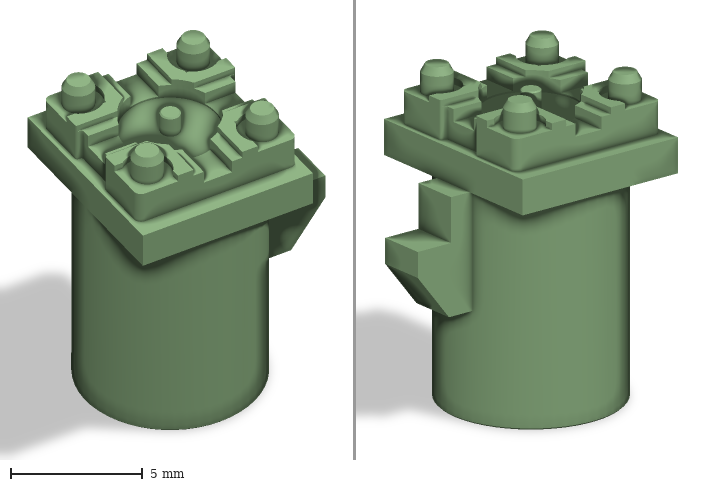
import cadquery as cq

total_height = 13.28
block_top = total_height - 0.86
step_floor = total_height - 1.14
channel_floor = total_height - 1.66
recess_floor = channel_floor - 0.08
plate_top = total_height - 2.47
plate_bottom = total_height - 3.92

barrel_diameter = 7.5
barrel_chamfer = 0.07
plate_x = 8.5
plate_y = barrel_diameter

block_side = 7.04
block_corner_radius = 0.3
notch_width = 2.11
notch_depth = 0.27
notch_fillet = 0.09

step_width = 2.15
channel_width = 1.25
recess_diameter = 4.01

pin_offset = 2.54
pin_diameter = 1.27
pin_tip_diameter = 0.92
pin_cone_height = 0.32
pocket_radius = 1.0
pocket_inner_edge = 1.77

contact_diameter = 0.81
contact_chamfer = 0.05

latch_width = 1.99
total_y = 10.0
latch_reach = total_y - plate_y / 2
latch_step_y = 4.65
latch_step_z = 7.52
latch_nose_bottom = 6.47
latch_bottom = 4.54
latch_ramp_y = 4.74


def box(x_size, y_size, bottom, top):
    """Box centred on the Z axis between two heights."""
    return cq.Workplane("XY").workplane(offset=bottom).rect(x_size, y_size).extrude(top - bottom)


def cylinder(diameter, bottom, top):
    """Cylinder on the Z axis between two heights."""
    return cq.Workplane("XY").workplane(offset=bottom).circle(diameter / 2).extrude(top - bottom)


def make_block():
    """Square block with rounded corners and a filleted notch in each Y side."""
    block = box(block_side, block_side, plate_top, block_top).edges("|Z").fillet(block_corner_radius)
    for side in (-1, 1):
        notch = box(notch_width, 2 * notch_depth, plate_top, block_top)
        block = block.cut(notch.translate((0, side * block_side / 2, 0)))
    notch_half = notch_width / 2 + notch_fillet
    notch_zone = cq.selectors.BoxSelector(
        (-notch_half, -block_side, plate_top), (notch_half, block_side, block_top)
    )
    block = block.edges("|Z").edges(notch_zone).fillet(notch_fillet)

    for width, floor in ((step_width, step_floor), (channel_width, channel_floor)):
        block = block.cut(box(width, block_side, floor, block_top))
        block = block.cut(box(block_side, width, floor, block_top))
    return block.cut(cylinder(recess_diameter, recess_floor, block_top))


def make_pocket():
    """Round pocket around a pin, opened out to the block corner in the +X +Y quadrant."""
    corner_side = block_side / 2 - pocket_inner_edge
    corner_centre = pocket_inner_edge + corner_side / 2
    corner = box(corner_side, corner_side, step_floor, block_top)
    corner = corner.translate((corner_centre, corner_centre, 0))
    round_part = cylinder(2 * pocket_radius, step_floor, block_top)
    return corner.union(round_part.translate((pin_offset, pin_offset, 0)))


def make_pin():
    """Corner pin with a conical tip, standing on the pocket floor in the +X +Y quadrant."""
    tip_chamfer = (pin_diameter - pin_tip_diameter) / 2
    pin = cylinder(pin_diameter, plate_top, total_height)
    pin = pin.faces(">Z").edges().chamfer(pin_cone_height, tip_chamfer)
    return pin.translate((pin_offset, pin_offset, 0))


def make_latch():
    """Hooked latch running from the barrel axis out to the +Y side."""
    return (
        cq.Workplane("YZ")
        .moveTo(0, plate_bottom)
        .lineTo(latch_step_y, plate_bottom)
        .lineTo(latch_step_y, latch_step_z)
        .lineTo(latch_reach, latch_step_z)
        .lineTo(latch_reach, latch_nose_bottom)
        .lineTo(latch_ramp_y, latch_bottom)
        .lineTo(0, latch_bottom)
        .close()
        .extrude(latch_width / 2, both=True)
    )


barrel = cylinder(barrel_diameter, 0, plate_bottom).faces("<Z").edges().chamfer(barrel_chamfer)
plate = box(plate_x, plate_y, plate_bottom, plate_top)
contact = cylinder(contact_diameter, plate_top, block_top).faces(">Z").edges().chamfer(contact_chamfer)

block = make_block()
for quarter_turn in range(4):
    angle = 90 * quarter_turn
    block = block.cut(make_pocket().rotate((0, 0, 0), (0, 0, 1), angle))
    block = block.union(make_pin().rotate((0, 0, 0), (0, 0, 1), angle))

result = barrel.union(plate).union(block).union(contact).union(make_latch())